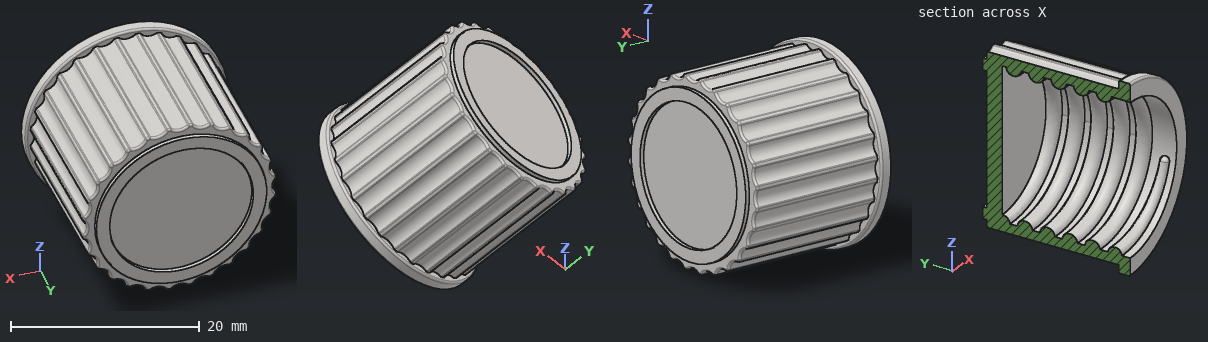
import cadquery as cq
import math

CAP_LENGTH = 18.0
BORE_DIAMETER = 18.5
FLOOR_THICKNESS = 2.0

FLANGE_DIAMETER = 23.0
FLANGE_THICKNESS = 1.5
FLANGE_FILLET = 0.25

GRIP_DIAMETER = 21.9
RIB_COUNT = 28
RIB_WIDTH = 0.5
GROOVE_DEPTH = 0.45
RIB_FILLET = 0.18
GRIP_END_FILLET = 0.25

RIM_OUTER_DIAMETER = 19.2
RIM_WIDTH = 1.5
RIM_HEIGHT = 0.5

THREAD_PITCH = 2.82
THREAD_CREST_DIAMETER = 16.8
THREAD_RADIUS = 1.0
THREAD_START_ANGLE = -111.0
THREAD_START_Y = 2.1

LEAD_START_ANGLE = -12.0
LEAD_TIP_RADIUS = 0.55
LEAD_CREST_RADIUS = 8.66

BORE_DEPTH = CAP_LENGTH - FLOOR_THICKNESS
THREAD_CENTRE_RADIUS = THREAD_CREST_DIAMETER / 2 + THREAD_RADIUS


def section_plane(y):
    """Workplane across the cap at the given Y, facing +Y."""
    return cq.Workplane(cq.Plane((0, y, 0), (1, 0, 0), (0, 1, 0)))


def cylinder(diameter, start, length):
    """Solid cylinder about the Y axis, from Y = start towards +Y."""
    return section_plane(start).circle(diameter / 2).extrude(length)


def make_flange():
    flange = cylinder(FLANGE_DIAMETER, 0, FLANGE_THICKNESS)
    return flange.edges().fillet(FLANGE_FILLET)


def make_grip():
    """Ribbed barrel with a scalloped outline."""
    outer_radius = GRIP_DIAMETER / 2
    pitch_angle = 2 * math.pi / RIB_COUNT
    half_rib_angle = RIB_WIDTH / GRIP_DIAMETER

    def polar(radius, angle):
        return (radius * math.cos(angle), radius * math.sin(angle))

    outline = section_plane(FLANGE_THICKNESS)
    outline = outline.moveTo(*polar(outer_radius, half_rib_angle - pitch_angle / 2))
    for index in range(RIB_COUNT):
        groove = index * pitch_angle
        rib = groove + pitch_angle / 2
        outline = outline.threePointArc(
            polar(outer_radius - GROOVE_DEPTH, groove), polar(outer_radius, rib - half_rib_angle)
        )
        outline = outline.threePointArc(
            polar(outer_radius, rib), polar(outer_radius, rib + half_rib_angle)
        )
    grip = outline.close().extrude(CAP_LENGTH - FLANGE_THICKNESS)
    grip = grip.edges("|Y").fillet(RIB_FILLET)
    return grip.faces(">Y").edges().fillet(GRIP_END_FILLET)


def make_rim():
    rim = cylinder(RIM_OUTER_DIAMETER, CAP_LENGTH, RIM_HEIGHT)
    return rim.cut(cylinder(RIM_OUTER_DIAMETER - 2 * RIM_WIDTH, CAP_LENGTH, RIM_HEIGHT))


def place_on_axis(solid, start_y, start_angle):
    """Turn a solid made along Z to run along +Y, starting at an angle measured from +X towards +Z."""
    along_y = solid.rotate((0, 0, 0), (1, 0, 0), -90)
    return along_y.rotate((0, 0, 0), (0, 1, 0), -start_angle).translate((0, start_y, 0))


def helix_path(height):
    """Right-handed helix about Z through the middle of the thread section."""
    return cq.Workplane(cq.Wire.makeHelix(THREAD_PITCH, height, THREAD_CENTRE_RADIUS))


def make_thread():
    """Round ridge that runs from the start angle into the floor."""
    height = BORE_DEPTH + THREAD_RADIUS - THREAD_START_Y
    section = cq.Workplane("XZ").center(THREAD_CENTRE_RADIUS, 0).circle(THREAD_RADIUS)
    ridge = section.sweep(helix_path(height), isFrenet=True)
    return place_on_axis(ridge, THREAD_START_Y, THREAD_START_ANGLE)


def make_lead_in():
    """Round ridge that swells from a thin rounded tip to the thread section."""
    turn = LEAD_START_ANGLE - THREAD_START_ANGLE
    height = THREAD_PITCH * turn / 360
    start_y = THREAD_START_Y - height
    tip_centre = LEAD_CREST_RADIUS + LEAD_TIP_RADIUS
    tip = cq.Workplane("XZ").center(tip_centre, 0).circle(LEAD_TIP_RADIUS)
    end = cq.Workplane("XZ").center(THREAD_CENTRE_RADIUS, 0).circle(THREAD_RADIUS)
    end_wire = end.wires().val().rotate((0, 0, 0), (0, 0, 1), turn).translate((0, 0, height))
    path = helix_path(height).wires().val()
    ridge = cq.Solid.sweep_multi([tip.wires().val(), end_wire], path, isFrenet=True)
    ball = cq.Workplane("XY").sphere(LEAD_TIP_RADIUS).translate((tip_centre, 0, 0))
    return place_on_axis(cq.Workplane(ridge).union(ball), start_y, LEAD_START_ANGLE)


def make_cavity():
    """Space inside the cap: the bore less the thread ridges."""
    bore = cylinder(BORE_DIAMETER, 0, BORE_DEPTH)
    return bore.cut(make_thread()).cut(make_lead_in())


cap = make_flange().union(make_grip()).union(make_rim())
result = cap.cut(make_cavity())